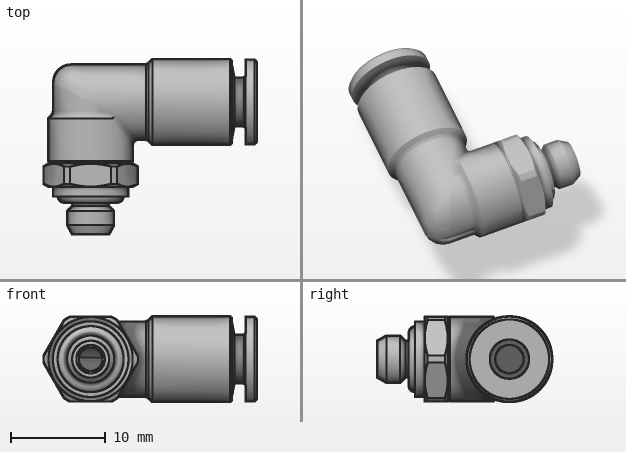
import cadquery as cq


overall_depth = 18.55

pipe_radius = 8.0 / 2
corner_radius = 2.03

collar_radius = 9.1 / 2
step_start = 5.83
step_end = 6.1
step_radius = 4.11
collar_start = 6.53
collar_end = 14.74
collar_bevel = 0.2
nose_end = 15.2
nose_radius = 4.02

button_neck_radius = 5.2 / 2
button_radius = 9.0 / 2
button_foot = 16.2
button_foot_radius = 2.73
button_start = 16.38
outlet_end = 17.6
button_bevel = 0.3

sleeve_radius = 9.0 / 2
sleeve_full = 1.75
sleeve_start = sleeve_full - (sleeve_radius - pipe_radius)
sleeve_blend = 0.5
sleeve_end = 6.37
sleeve_bevel = 0.11

nut_start = 6.5
nut_end = 8.97
nut_flats = 9.0
nut_corner_radius = 10.0 / 2
nut_bevel_height = 0.32
nut_face_radius = 8.9 / 2

spigot_neck_radius = 3.9 / 2
spigot_radius = 5.0 / 2
spigot_cone_start = 11.0
spigot_start = 11.55
spigot_taper_start = 13.02
stem_end = overall_depth - collar_radius
spigot_tip_radius = 3.9 / 2

seat_radius = pipe_radius
seat_end = 10.01
seal_radius = 3.5
seal_end = 10.67
seal_inner_radius = spigot_neck_radius
seal_section_radius = (seal_radius - seal_inner_radius) / 2

bore_radius = 2.5 / 2
bore_mouth_radius = 3.0 / 2
outlet_bore_radius = 3.0 / 2
socket_radius = 4.15 / 2
socket_start = collar_start

tolerance = 0.002


def stem_cylinder(radius, start, end):
    """Cylinder on the stem axis between two distances below the outlet axis."""
    return cq.Workplane("XZ").workplane(offset=start).circle(radius).extrude(end - start)


def outlet_cylinder(radius, start, end):
    """Cylinder on the outlet axis between two X positions."""
    return cq.Workplane("YZ").workplane(offset=start).circle(radius).extrude(end - start)


def is_sleeve_joint(edge):
    """True for the edges where the sleeve meets the two pipes."""
    box = edge.BoundingBox()
    below_corner = box.ymax < -sleeve_start + tolerance
    above_pipe_underside = box.ymin > -pipe_radius - tolerance
    on_bevel_rim = box.ymax < -sleeve_full + tolerance and box.ylen < tolerance
    return below_corner and above_pipe_underside and not on_bevel_rim


def make_elbow():
    """Mitred elbow with a rounded outer corner, blended into the stem sleeve."""
    reach = 2 * pipe_radius
    corner = outlet_cylinder(pipe_radius, -reach, reach).intersect(
        stem_cylinder(pipe_radius, -reach, reach)
    )
    outer_edges = [
        edge for edge in corner.edges().vals() if edge.Center().x < 0 and edge.Center().y > 0
    ]
    corner = corner.newObject(outer_edges).fillet(corner_radius)

    sleeve = (
        cq.Workplane("XY")
        .moveTo(0, 0)
        .lineTo(pipe_radius, 0)
        .lineTo(pipe_radius, -sleeve_start)
        .lineTo(sleeve_radius, -sleeve_full)
        .lineTo(sleeve_radius, -sleeve_end + sleeve_bevel)
        .lineTo(sleeve_radius - sleeve_bevel, -sleeve_end)
        .lineTo(0, -sleeve_end)
        .close()
        .revolve(360, (0, 0, 0), (0, 1, 0))
    )
    elbow = corner.union(outlet_cylinder(pipe_radius, 0, step_start)).union(sleeve)
    joint_edges = [edge for edge in elbow.edges().vals() if is_sleeve_joint(edge)]
    return elbow.newObject(joint_edges).fillet(sleeve_blend)


def make_outlet():
    """Stepped collar and release button, revolved about the X axis."""
    return (
        cq.Workplane("XY")
        .moveTo(step_start, 0)
        .lineTo(step_start, pipe_radius)
        .lineTo(step_end, step_radius)
        .lineTo(collar_start, collar_radius)
        .lineTo(collar_end, collar_radius)
        .lineTo(collar_end + collar_bevel, collar_radius - collar_bevel)
        .lineTo(collar_end + collar_bevel, nose_radius)
        .lineTo(nose_end, button_neck_radius)
        .lineTo(button_foot, button_neck_radius)
        .lineTo(button_start, button_foot_radius)
        .lineTo(button_start, button_radius)
        .lineTo(outlet_end - button_bevel, button_radius)
        .lineTo(outlet_end, button_radius - button_bevel)
        .lineTo(outlet_end, 0)
        .close()
        .revolve(360, (0, 0, 0), (1, 0, 0))
    )


def make_spigot():
    """Seal seat and threaded spigot, revolved about the Y axis."""
    return (
        cq.Workplane("XY")
        .moveTo(0, -sleeve_end)
        .lineTo(sleeve_radius - sleeve_bevel, -sleeve_end)
        .lineTo(sleeve_radius - sleeve_bevel, -nut_start)
        .lineTo(seat_radius, -nut_start)
        .lineTo(seat_radius, -seat_end)
        .lineTo(spigot_neck_radius, -seat_end)
        .lineTo(spigot_neck_radius, -spigot_cone_start)
        .lineTo(spigot_radius, -spigot_start)
        .lineTo(spigot_radius, -spigot_taper_start)
        .lineTo(spigot_tip_radius, -stem_end)
        .lineTo(0, -stem_end)
        .close()
        .revolve(360, (0, 0, 0), (0, 1, 0))
    )


def make_seal():
    """Round seal ring, partly sunk into its seat."""
    ring_radius = seal_radius - seal_section_radius
    return (
        cq.Workplane("XY")
        .center(ring_radius, -seal_end + seal_section_radius)
        .circle(seal_section_radius)
        .revolve(360, (-ring_radius, 0, 0), (-ring_radius, 1, 0))
    )


def make_nut():
    """Hexagon with truncated corners and bevelled ends."""
    hexagon = (
        cq.Workplane("XZ")
        .workplane(offset=nut_start)
        .polygon(6, nut_flats, circumscribed=True)
        .extrude(nut_end - nut_start)
    )
    hexagon = hexagon.rotate((0, 0, 0), (0, 1, 0), 30)
    envelope = stem_cylinder(nut_corner_radius, nut_start, nut_end)
    envelope = envelope.edges("%CIRCLE").chamfer(nut_bevel_height, nut_corner_radius - nut_face_radius)
    return hexagon.intersect(envelope)


def make_stem_bore():
    """Bore from the stem end up to the outlet axis, flared at its mouth."""
    flare = bore_mouth_radius - bore_radius
    return (
        cq.Workplane("XY")
        .polyline(
            [
                (0, 0),
                (bore_radius, 0),
                (bore_radius, flare - stem_end),
                (bore_mouth_radius, -stem_end),
                (0, -stem_end),
            ]
        )
        .close()
        .revolve(360, (0, 0, 0), (0, 1, 0))
    )


result = (
    make_elbow()
    .union(make_outlet())
    .union(make_spigot())
    .union(make_seal())
    .union(make_nut())
    .cut(outlet_cylinder(outlet_bore_radius, -outlet_bore_radius, socket_start))
    .cut(outlet_cylinder(socket_radius, socket_start, outlet_end))
    .cut(make_stem_bore())
)